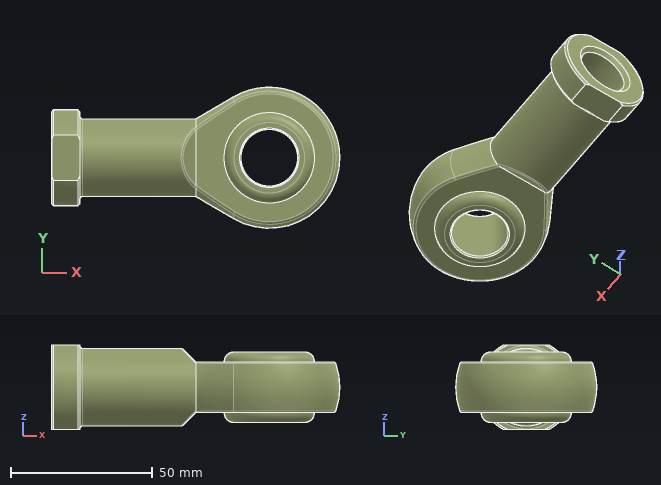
import cadquery as cq
import math


eye_radius = 25.0
eye_half_width = 9.0
eye_edge_radius = 1.0
neck_start_x = -26.0

collar_face_x = -77.0
collar_length = 10.0
collar_radius = 17.0
collar_across_flats = 30.0
collar_chamfer = 0.7
shank_radius = 13.75
shank_fillet = 1.0
shoulder_slope = math.radians(45.0)

ring_radius = 16.0
ring_half_width = 12.5
ring_rounding = 3.5
ring_bore_radius = 10.0
ring_bore_chamfer = 0.5

socket_radius = 9.2
socket_mouth_radius = 10.7
socket_depth = 40.0
drill_half_angle = math.radians(59.0)
passage_radius = 2.7

collar_end_x = collar_face_x + collar_length
neck_start_distance = math.hypot(neck_start_x, shank_radius)
tangent_angle = math.atan2(shank_radius, -neck_start_x) + math.acos(eye_radius / neck_start_distance)
tangent_x = -eye_radius * math.cos(tangent_angle)
tangent_radius = eye_radius * math.sin(tangent_angle)
shoulder_length = (collar_radius - eye_half_width) / math.tan(shoulder_slope)


def make_turned_body():
    """Collar, shank, conical neck and spherical eye, turned about the X axis."""
    fillet_mid = shank_fillet * (1 - math.sqrt(0.5))
    sphere_mid = eye_radius * math.sqrt(0.5)
    profile = (
        cq.Workplane("XY")
        .moveTo(collar_face_x, 0)
        .lineTo(collar_face_x, collar_radius - collar_chamfer)
        .lineTo(collar_face_x + collar_chamfer, collar_radius)
        .lineTo(collar_end_x - collar_chamfer, collar_radius)
        .lineTo(collar_end_x, collar_radius - collar_chamfer)
        .lineTo(collar_end_x, shank_radius + shank_fillet)
        .threePointArc(
            (collar_end_x + fillet_mid, shank_radius + fillet_mid),
            (collar_end_x + shank_fillet, shank_radius),
        )
        .lineTo(neck_start_x, shank_radius)
        .lineTo(tangent_x, tangent_radius)
        .threePointArc((sphere_mid, sphere_mid), (eye_radius, 0))
        .close()
    )
    return profile.revolve(360, (0, 0, 0), (1, 0, 0))


def make_side_cutter():
    """Block that flattens the +Z side of the eye and slopes up over the shank end."""
    clear = 2 * eye_radius
    top_z = eye_half_width + shoulder_length * math.tan(shoulder_slope)
    return (
        cq.Workplane("XZ")
        .moveTo(neck_start_x, eye_half_width)
        .lineTo(neck_start_x - shoulder_length, top_z)
        .lineTo(neck_start_x - shoulder_length, clear)
        .lineTo(clear, clear)
        .lineTo(clear, eye_half_width)
        .close()
        .extrude(clear, both=True)
    )


def flatten_eye(body):
    """Cut both eye faces with their shoulders and round the curved edges around them."""
    cutter = make_side_cutter()
    body = body.cut(cutter).cut(cutter.mirror("XY"))
    rims = body.faces("%PLANE").faces("not |X").edges("not %LINE")
    return rims.fillet(eye_edge_radius)


def cut_collar_flats(body):
    """Two wrench flats on the collar, facing +Z and -Z."""
    stock_length = 2 * abs(collar_face_x)
    keep = cq.Workplane("XY").box(stock_length, 2 * eye_radius, collar_across_flats)
    return body.intersect(keep)


def make_ring():
    """Inner ring blank with rounded outer edges."""
    ring = cq.Workplane("XY").circle(ring_radius).extrude(ring_half_width, both=True)
    return ring.edges("%CIRCLE").fillet(ring_rounding)


def make_ring_bore():
    """Through bore of the inner ring with a chamfer at each mouth."""
    mouth_radius = ring_bore_radius + ring_bore_chamfer
    chamfer_z = ring_half_width - ring_bore_chamfer
    return (
        cq.Workplane("XZ")
        .moveTo(0, -ring_half_width)
        .lineTo(mouth_radius, -ring_half_width)
        .lineTo(ring_bore_radius, -chamfer_z)
        .lineTo(ring_bore_radius, chamfer_z)
        .lineTo(mouth_radius, ring_half_width)
        .lineTo(0, ring_half_width)
        .close()
        .revolve(360, (0, 0, 0), (0, 1, 0))
    )


def make_socket():
    """Chamfered socket with a drill-point end and a small passage beyond it."""
    mouth_chamfer = socket_mouth_radius - socket_radius
    cone_length = (socket_radius - passage_radius) / math.tan(drill_half_angle)
    socket_end_x = collar_face_x + socket_depth
    return (
        cq.Workplane("XY")
        .moveTo(collar_face_x, 0)
        .lineTo(collar_face_x, socket_mouth_radius)
        .lineTo(collar_face_x + mouth_chamfer, socket_radius)
        .lineTo(socket_end_x, socket_radius)
        .lineTo(socket_end_x + cone_length, passage_radius)
        .lineTo(0, passage_radius)
        .lineTo(0, 0)
        .close()
        .revolve(360, (0, 0, 0), (1, 0, 0))
    )


housing = cut_collar_flats(flatten_eye(make_turned_body())).cut(make_socket())
result = housing.union(make_ring()).cut(make_ring_bore())